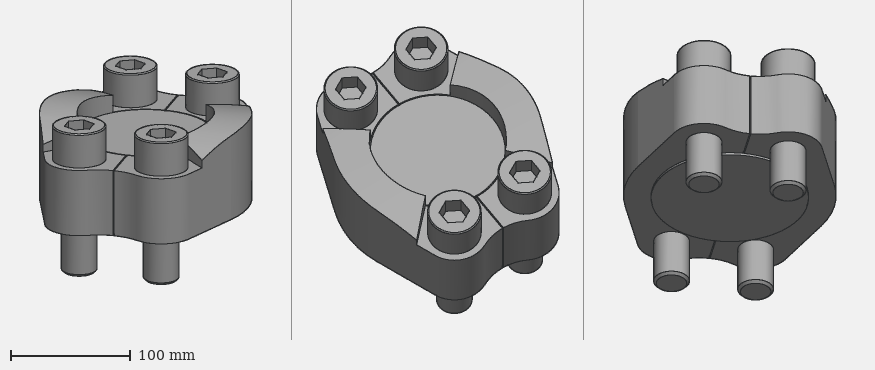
import cadquery as cq
import math

flange_length = 210.0
flange_width = 177.6
ear_top = 58.0
crown_height = 77.0
crown_radius = 200.1
seam_gap = 1.0
waist_radius = 46.5

bolt_x = 35.7
bolt_y = 76.2

shank_diameter = 30.0
shank_length = 100.0
shank_chamfer = 2.3
head_diameter = 45.0
head_height = 30.0
head_chamfer = 1.0
socket_flats = 22.0
socket_depth = 15.0

bore_diameter = 114.6
plug_diameter = 112.5
collar_diameter = 131.7
collar_height = 28.0
collar_projection = 2.0

side_radius = flange_width / 2
ear_radius = flange_length / 2 - bolt_y


def clamp_outline():
    """Closed outline: two side arcs, four ears, two concave waists."""
    bolt_distance = math.hypot(bolt_x, bolt_y)
    bolt_angle = math.atan2(bolt_y, bolt_x)
    tangent = bolt_angle - math.acos((side_radius - ear_radius) / bolt_distance)
    side_end = (side_radius * math.cos(tangent), side_radius * math.sin(tangent))
    ear_start = (bolt_x + ear_radius * math.cos(tangent), bolt_y + ear_radius * math.sin(tangent))

    waist_y = bolt_y + math.sqrt((ear_radius + waist_radius) ** 2 - bolt_x**2)
    waist = math.atan2(waist_y - bolt_y, -bolt_x)
    ear_end = (bolt_x + ear_radius * math.cos(waist), bolt_y + ear_radius * math.sin(waist))
    ear_middle = (tangent + waist) / 2
    ear_mid = (bolt_x + ear_radius * math.cos(ear_middle), bolt_y + ear_radius * math.sin(ear_middle))
    waist_mid = (0, waist_y - waist_radius)

    def flip(point, x_sign, y_sign):
        return (x_sign * point[0], y_sign * point[1])

    outline = cq.Workplane("XY").moveTo(*flip(side_end, 1, -1))
    for sign in (1, -1):
        outline = (
            outline.threePointArc((sign * side_radius, 0), flip(side_end, sign, sign))
            .lineTo(*flip(ear_start, sign, sign))
            .threePointArc(flip(ear_mid, sign, sign), flip(ear_end, sign, sign))
            .threePointArc(flip(waist_mid, sign, sign), flip(ear_end, -sign, sign))
            .threePointArc(flip(ear_mid, -sign, sign), flip(ear_start, -sign, sign))
            .lineTo(*flip(side_end, -sign, sign))
        )
    return outline.close()


def make_clamp():
    """Two halves with domed sides, flat ears, a round bore and a seam slot."""
    base = clamp_outline().extrude(ear_top)
    crown = (
        cq.Workplane("YZ")
        .center(0, crown_height - crown_radius)
        .circle(crown_radius)
        .extrude(flange_width, both=True)
    )
    sides = clamp_outline().extrude(crown_height).intersect(crown)

    for reach in (flange_length, -flange_length):
        ear_clearance = (
            cq.Workplane("XY", origin=(0, 0, ear_top))
            .polyline([(0, 0), (reach, reach), (-reach, reach)])
            .close()
            .extrude(crown_height)
        )
        sides = sides.cut(ear_clearance)

    clamp = base.union(sides)
    bore = cq.Workplane("XY").circle(bore_diameter / 2).extrude(crown_height)
    seam = cq.Workplane("XY").box(seam_gap, flange_length, crown_height, centered=(True, True, False))
    return clamp.cut(bore).cut(seam)


def make_plug():
    """Round plug, level with the ears, on a wide collar seated in the clamp."""
    collar = (
        cq.Workplane("XY", origin=(0, 0, -collar_projection))
        .circle(collar_diameter / 2)
        .extrude(collar_height)
    )
    return collar.union(cq.Workplane("XY").circle(plug_diameter / 2).extrude(ear_top))


def make_bolt():
    """Socket head bolt with the underside of its head at Z = 0."""
    head = cq.Workplane("XY").circle(head_diameter / 2).extrude(head_height)
    head = head.faces(">Z").chamfer(head_chamfer)
    shank = cq.Workplane("XY").circle(shank_diameter / 2).extrude(-shank_length)
    shank = shank.faces("<Z").chamfer(shank_chamfer)
    socket = (
        cq.Workplane("XY", origin=(0, 0, head_height))
        .polygon(6, socket_flats, circumscribed=True)
        .extrude(-socket_depth)
    )
    return head.union(shank).cut(socket)


result = make_clamp().union(make_plug())
bolt = make_bolt()
for x in (-bolt_x, bolt_x):
    for y in (-bolt_y, bolt_y):
        result = result.union(bolt.translate((x, y, ear_top)))